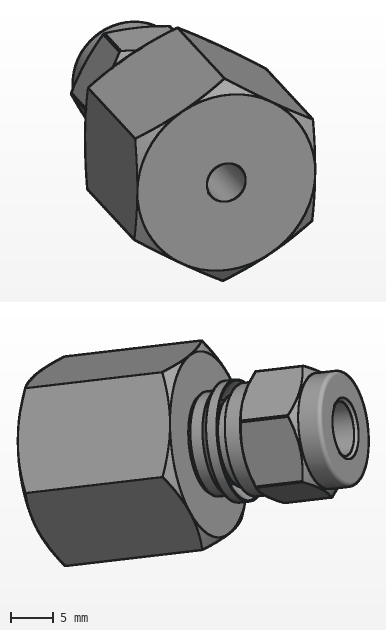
import cadquery as cq
import math


nut_shoulder_x = 2.97
nut_hex_end_x = 10.65
nut_end_x = 12.73
flange_x = 13.5
stem_taper_x = 14.1
groove_x = 14.65
flange_cone_x = 14.85
recess_tip_x = 15.65
neck_x = 15.8
body_x = 17.8
total_length = 37.74

nut_nose_diameter = 13.9
nut_nose_fillet = 0.5
nut_hex_across_flats = 14.29
nut_hex_corner_diameter = 16.38
nut_tail_diameter = 13.6
nut_tail_fillet = 0.25

stem_diameter = 11.11
groove_diameter = 10.1
flange_diameter = 14.6
flange_recess_diameter = 14.32
neck_diameter = 12.6
neck_relief = 0.42
neck_relief_drop = 0.3

body_across_flats = 22.225
body_roll = -0.48
chamfer_angle = 30.0

through_diameter = 4.83
tube_socket_diameter = 6.55
tube_socket_depth = 15.2
socket_mouth_diameter = 7.35
socket_mouth_depth = 0.4


hexagon_sides = 6
half_side_angle = math.radians(180 / hexagon_sides)


def across_corners(across_flats):
    return across_flats / math.cos(half_side_angle)


def turned(profile):
    """Solid of revolution about X from (x, radius) points; the profile is closed along the axis."""
    first_x = profile[0][0]
    last_x = profile[-1][0]
    points = [(first_x, 0), *profile, (last_x, 0)]
    return cq.Workplane("XY").polyline(points).close().revolve(360, (0, 0, 0), (1, 0, 0))


def cylinder(start_x, end_x, diameter):
    return turned([(start_x, diameter / 2), (end_x, diameter / 2)])


def chamfered_hexagon(start_x, end_x, across_flats, corner_diameter, start_diameter, end_diameter):
    """Hexagonal prism with corners along Y, trimmed by a turned blank with conical ends."""
    prism = (
        cq.Workplane("YZ", origin=(start_x, 0, 0))
        .polygon(hexagon_sides, across_corners(across_flats))
        .extrude(end_x - start_x)
    )
    slope = math.tan(math.radians(chamfer_angle))
    start_run = (corner_diameter - start_diameter) / 2 * slope
    end_run = (corner_diameter - end_diameter) / 2 * slope
    blank = turned([
        (start_x, start_diameter / 2),
        (start_x + start_run, corner_diameter / 2),
        (end_x - end_run, corner_diameter / 2),
        (end_x, end_diameter / 2),
    ])
    return prism.intersect(blank)


def make_nut():
    nose = cylinder(0, nut_shoulder_x, nut_nose_diameter).faces("<X").edges().fillet(nut_nose_fillet)
    hexagon = chamfered_hexagon(
        nut_shoulder_x,
        nut_hex_end_x,
        nut_hex_across_flats,
        nut_hex_corner_diameter,
        nut_nose_diameter,
        nut_tail_diameter,
    )
    tail = cylinder(nut_hex_end_x, nut_end_x, nut_tail_diameter).faces(">X").edges().fillet(nut_tail_fillet)
    return nose.union(hexagon).union(tail)


def make_neck():
    return turned([
        (nut_end_x, stem_diameter / 2),
        (stem_taper_x, stem_diameter / 2),
        (groove_x, groove_diameter / 2),
        (recess_tip_x, groove_diameter / 2),
        (flange_x, flange_recess_diameter / 2),
        (flange_x, flange_diameter / 2),
        (flange_cone_x, flange_diameter / 2),
        (neck_x, neck_diameter / 2),
        (body_x - neck_relief, neck_diameter / 2),
        (body_x, neck_diameter / 2 - neck_relief_drop),
    ])


def make_body():
    hexagon = chamfered_hexagon(
        body_x,
        total_length,
        body_across_flats,
        across_corners(body_across_flats),
        body_across_flats,
        body_across_flats,
    )
    corners_along_z = 90
    return hexagon.rotate((0, 0, 0), (1, 0, 0), corners_along_z + body_roll)


def make_bore():
    mouth = turned([
        (0, socket_mouth_diameter / 2),
        (socket_mouth_depth, tube_socket_diameter / 2),
    ])
    socket = cylinder(0, tube_socket_depth, tube_socket_diameter)
    through = cylinder(0, total_length, through_diameter)
    return through.union(socket).union(mouth)


result = make_nut().union(make_neck()).union(make_body()).cut(make_bore())